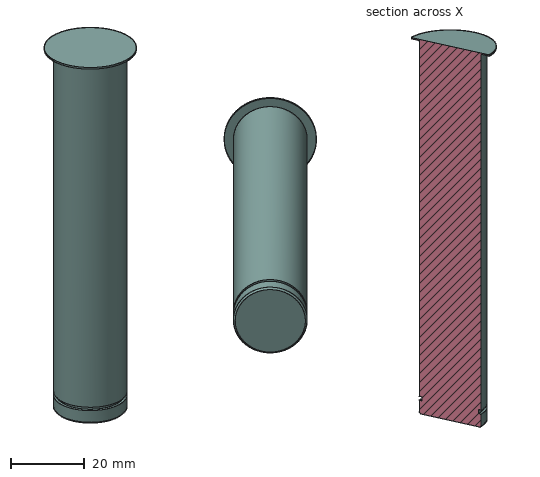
import cadquery as cq

total_length = 108.34
head_diameter = 25.0
head_thickness = 0.5
pin_diameter = 20.0

groove_diameter = 18.35
groove_width = 1.0
end_land_length = 4.0

end_chamfer = 0.5


def make_pin():
    """Headed pin standing on its chamfered free end at Z = 0."""
    shank = cq.Workplane("XY").circle(pin_diameter / 2).extrude(total_length - head_thickness)
    shank = shank.faces("<Z").edges().chamfer(end_chamfer)
    head = (
        cq.Workplane("XY")
        .workplane(offset=total_length - head_thickness)
        .circle(head_diameter / 2)
        .extrude(head_thickness)
    )
    return shank.union(head)


def make_groove_ring():
    """Ring of material removed to form the retaining ring groove."""
    return (
        cq.Workplane("XY")
        .workplane(offset=end_land_length)
        .circle(head_diameter / 2)
        .circle(groove_diameter / 2)
        .extrude(groove_width)
    )


result = make_pin().cut(make_groove_ring())